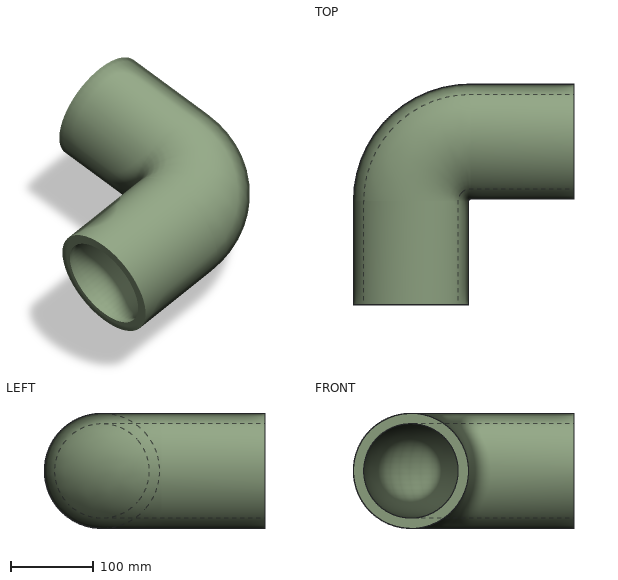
import cadquery as cq
import math

overall_length = 268.0
outer_diameter = 140.0
bore_diameter = 114.7
leg_length = 125.7

bend_radius = overall_length - leg_length - outer_diameter / 2
bend_mid_offset = bend_radius * math.cos(math.radians(45))

centre_line = (
    cq.Workplane("XY")
    .moveTo(-bend_radius, -leg_length)
    .lineTo(-bend_radius, 0)
    .threePointArc((-bend_mid_offset, bend_mid_offset), (0, bend_radius))
    .lineTo(leg_length, bend_radius)
)

result = (
    cq.Workplane("XZ", origin=(-bend_radius, -leg_length, 0))
    .circle(outer_diameter / 2)
    .circle(bore_diameter / 2)
    .sweep(centre_line)
)